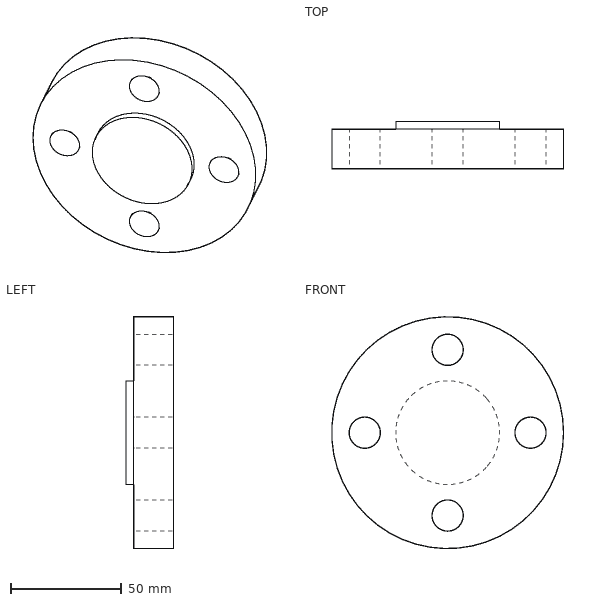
import cadquery as cq

flange_diameter = 105.0
overall_thickness = 21.5
raised_face_diameter = 47.0
raised_face_height = 3.5
flange_thickness = overall_thickness - raised_face_height

bolt_hole_count = 4
bolt_hole_diameter = 14.0
bolt_circle_diameter = 75.0


def disc(diameter, start_y, thickness):
    """Disc centred on the Y axis, growing from start_y towards +Y."""
    plane = cq.Workplane("XZ", origin=(0, start_y, 0))
    return plane.circle(diameter / 2).extrude(-thickness)


def bolt_holes():
    """Cylinders through the flange, spaced evenly on the bolt circle, the first on +X."""
    return (
        cq.Workplane("XZ")
        .polarArray(bolt_circle_diameter / 2, 0, 360, bolt_hole_count)
        .circle(bolt_hole_diameter / 2)
        .extrude(-flange_thickness)
    )


flange = disc(flange_diameter, 0, flange_thickness)
raised_face = disc(raised_face_diameter, flange_thickness, raised_face_height)

result = flange.union(raised_face).cut(bolt_holes())